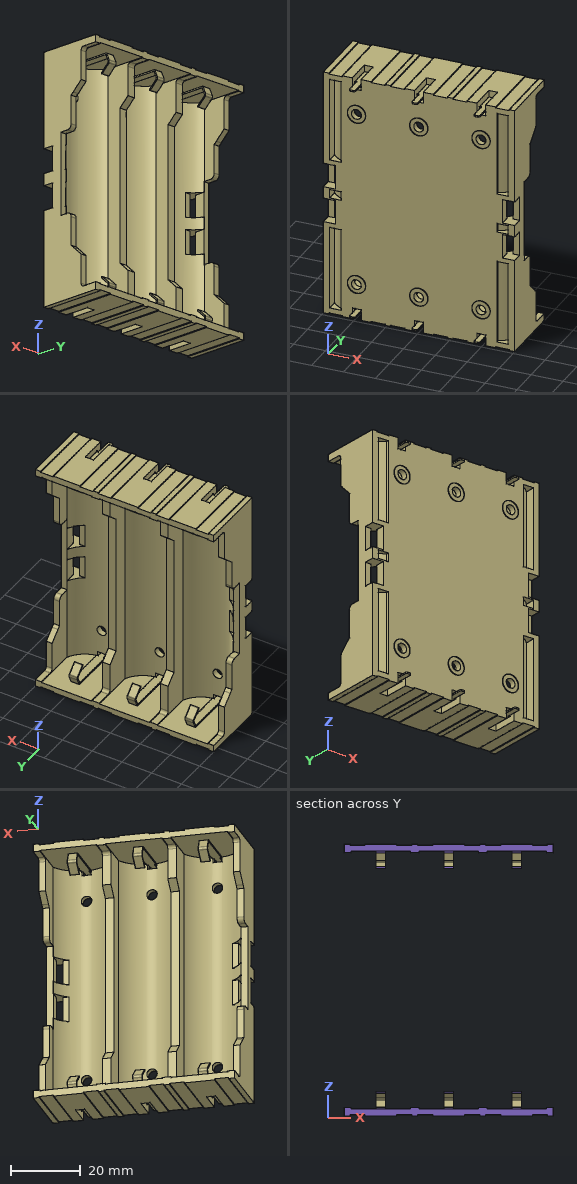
import cadquery as cq


WIDTH = 60.0
LENGTH = 78.0
HEIGHT = 21.1

CELL_COUNT = 3
CELL_PITCH = 19.5
CELLS_X = [(i - (CELL_COUNT - 1) / 2) * CELL_PITCH for i in range(CELL_COUNT)]
BAY_RADIUS = 9.35
FLOOR = 1.8
BAY_AXIS_Y = FLOOR + BAY_RADIUS
SIDE_WALL = 2.0
BAY_HALF_WIDTH = WIDTH / 2 - SIDE_WALL - CELL_PITCH
END_WALL = 2.1
BAY_LENGTH = LENGTH - 2 * END_WALL

LIP_THICKNESS = 2.35
SHOULDER_HEIGHT = 15.2
SHOULDER_END_Z = 26.7
RIB_HEIGHT = 12.0
RIB_END_Z = 23.7
SIDE_HEIGHT = 11.15
SIDE_SLOPE_END_Z = 22.9
SIDE_LOW_HEIGHT = 6.95
SIDE_LOW_HALF_LENGTH = 12.7
SIDE_STEP_RADIUS = 1.5
LIP_FILLET = 1.0

GROOVE_DEPTH = 0.3
EDGE_BAND = 1.8
CELL_BAND_HALF_WIDTH = 4.5
RIB_BAND_HALF_WIDTH = 0.85

SLOT_WIDTH = 3.6
LONG_SLOT_NEAR_Z = 10.9
LONG_SLOT_FAR_Z = 37.0
SHORT_SLOT_LENGTH = 2.7

WINDOW_DEPTH = 3.8
WINDOW_HEIGHT = 3.5
WINDOW_CLEARANCE_Y = 3.1
WINDOW_NEAR_Z = 1.9
WINDOW_FAR_Z = 9.4

HOLE_Z = 27.5
HOLE_DIAMETER = 3.05
PAD_DIAMETER = 5.7
PAD_HEIGHT = 0.2

NOTCH_WIDTH = 2.7
NOTCH_HEIGHT = 8.6
NOTCH_LENGTH = 3.5

CONTACT_THICKNESS = 0.5
CONTACT_Z = LENGTH / 2 - END_WALL - CONTACT_THICKNESS / 2
PIN_LENGTH = 3.35
PIN_WIDTH = 1.8
PIN_CORNER = 0.4
PIN_SHOULDER_Y = 2.2
BEND_Y = 16.2
CREST_Y = 17.2
CREST_START_DROP = 2.3
CREST_END_DROP = 3.0
SPRING_TIP_Y = 14.5
SPRING_TIP_DROP = 5.45


def block(x_range, y_range, z_range):
    """Box between the given limits, each pair in either order."""
    sizes = [abs(b - a) for a, b in (x_range, y_range, z_range)]
    centre = tuple((a + b) / 2 for a, b in (x_range, y_range, z_range))
    return cq.Workplane("XY").box(*sizes).translate(centre)


def cylinder_along_z(radius, length, x):
    """Cylinder on the axis of the bay at x, centred along Z."""
    return cq.Workplane("XY").center(x, BAY_AXIS_Y).circle(radius).extrude(length / 2, both=True)


def housing_blank():
    """Side profile with end lips, high shoulders and the rib height between them."""
    lip_z = LENGTH / 2 - LIP_THICKNESS
    upper_half = [
        (0, LENGTH / 2),
        (HEIGHT, LENGTH / 2),
        (HEIGHT, lip_z),
        (SHOULDER_HEIGHT, lip_z),
        (SHOULDER_HEIGHT, SHOULDER_END_Z),
        (RIB_HEIGHT, RIB_END_Z),
    ]
    lower_half = [(y, -z) for y, z in reversed(upper_half)]
    blank = cq.Workplane("YZ").polyline(upper_half + lower_half).close().extrude(WIDTH / 2, both=True)
    for end in (1, -1):
        corner = cq.selectors.NearestToPointSelector((0, SHOULDER_HEIGHT, end * lip_z))
        blank = blank.edges("|X").edges(corner).fillet(LIP_FILLET)
    return blank


def cell_bay(x):
    """Round-bottomed trough with flat sides, open on the +Y side."""
    sides = (x - BAY_HALF_WIDTH, x + BAY_HALF_WIDTH)
    ends = (-BAY_LENGTH / 2, BAY_LENGTH / 2)
    round_bottom = cylinder_along_z(BAY_RADIUS, BAY_LENGTH, x).intersect(block(sides, (0, HEIGHT), ends))
    return round_bottom.union(block(sides, (BAY_AXIS_Y, HEIGHT), ends))


def side_wall_relief(side):
    """Material removed above an outer side wall: a long step with a deeper one in the middle."""
    relief = (
        cq.Workplane("YZ")
        .moveTo(RIB_HEIGHT, RIB_END_Z)
        .lineTo(SIDE_HEIGHT, SIDE_SLOPE_END_Z)
        .lineTo(SIDE_HEIGHT, SIDE_LOW_HALF_LENGTH + SIDE_STEP_RADIUS)
        .radiusArc((SIDE_HEIGHT - SIDE_STEP_RADIUS, SIDE_LOW_HALF_LENGTH), SIDE_STEP_RADIUS)
        .lineTo(SIDE_LOW_HEIGHT, SIDE_LOW_HALF_LENGTH)
        .lineTo(SIDE_LOW_HEIGHT, 0)
        .lineTo(RIB_HEIGHT, 0)
        .close()
        .extrude(side * SIDE_WALL)
        .translate((side * (WIDTH / 2 - SIDE_WALL), 0, 0))
    )
    return relief.union(relief.mirror("XY"))


def end_grooves(end):
    """Grooves between the raised bands on one end face, running the full height."""
    half_pitch = CELL_PITCH / 2
    outer_z = end * LENGTH / 2
    grooves = cq.Workplane("XY")
    for x in CELLS_X:
        for side in (1, -1):
            at_outer_edge = abs(x + side * half_pitch) > max(CELLS_X)
            if at_outer_edge:
                reach = WIDTH / 2 - max(CELLS_X) - EDGE_BAND
            else:
                reach = half_pitch - RIB_BAND_HALF_WIDTH
            x_range = (x + side * CELL_BAND_HALF_WIDTH, x + side * reach)
            groove = block(x_range, (0, HEIGHT), (outer_z, outer_z - end * GROOVE_DEPTH))
            grooves = grooves.add(groove)
    return grooves.combine()


def side_slots(side):
    """Slots between a side wall and the round shell of the outer bay."""
    outer_x = side * (WIDTH / 2 - SIDE_WALL)
    inner_x = outer_x - side * SLOT_WIDTH
    z_ranges = [
        (LONG_SLOT_NEAR_Z, LONG_SLOT_FAR_Z),
        (-SHORT_SLOT_LENGTH / 2, SHORT_SLOT_LENGTH / 2),
        (-LONG_SLOT_FAR_Z, -LONG_SLOT_NEAR_Z),
    ]
    slots = cq.Workplane("XY")
    for z_range in z_ranges:
        slots = slots.add(block((outer_x, inner_x), (0, BAY_AXIS_Y), z_range))
    shell = cylinder_along_z(BAY_RADIUS + SIDE_WALL, LENGTH, side * max(CELLS_X))
    return slots.combine().cut(shell)


def side_windows(side):
    """Windows through a side wall, with the round shell cleared away above their inner ends."""
    outer_x = side * WIDTH / 2
    wall_x = outer_x - side * SIDE_WALL
    inner_x = outer_x - side * WINDOW_DEPTH
    bay_x = side * max(CELLS_X)
    windows = cq.Workplane("XY")
    for end in (1, -1):
        z_range = (end * WINDOW_NEAR_Z, end * WINDOW_FAR_Z)
        windows = windows.add(block((outer_x, inner_x), (0, WINDOW_HEIGHT), z_range))
        windows = windows.add(block((wall_x, bay_x), (WINDOW_CLEARANCE_Y, BAY_AXIS_Y), z_range))
    return windows.combine()


def mounting_discs(diameter, y_start, y_end):
    """Round discs at the six mounting points, between two heights."""
    points = [(x, end * HOLE_Z) for x in CELLS_X for end in (1, -1)]
    discs = cq.Workplane("XZ", origin=(0, y_start, 0)).pushPoints(points).circle(diameter / 2)
    return discs.extrude(y_start - y_end)


def contact_notch(x, end):
    """Notch through an end wall and the bay floor, where a contact passes out."""
    outer_z = end * LENGTH / 2
    x_range = (x - NOTCH_WIDTH / 2, x + NOTCH_WIDTH / 2)
    return block(x_range, (0, NOTCH_HEIGHT), (outer_z, outer_z - end * NOTCH_LENGTH))


def make_housing():
    housing = housing_blank()
    for x in CELLS_X:
        housing = housing.cut(cell_bay(x))
    for side in (1, -1):
        housing = housing.cut(side_wall_relief(side))
        housing = housing.cut(side_slots(side))
        housing = housing.cut(side_windows(side))
    for end in (1, -1):
        housing = housing.cut(end_grooves(end))
        for x in CELLS_X:
            housing = housing.cut(contact_notch(x, end))
    housing = housing.union(mounting_discs(PAD_DIAMETER, 0, -PAD_HEIGHT))
    return housing.cut(mounting_discs(HOLE_DIAMETER, -PAD_HEIGHT, BAY_AXIS_Y))


def make_contact(x, end):
    """Strip running up the end wall, bent into a spring at the top and narrowed to a pin below."""
    strip_path = [
        (-PIN_LENGTH - CONTACT_THICKNESS, CONTACT_Z),
        (BEND_Y, CONTACT_Z),
        (CREST_Y, CONTACT_Z - CREST_START_DROP),
        (CREST_Y, CONTACT_Z - CREST_END_DROP),
        (SPRING_TIP_Y, CONTACT_Z - SPRING_TIP_DROP),
    ]
    strip = (
        cq.Workplane("YZ")
        .polyline(strip_path)
        .offset2D(CONTACT_THICKNESS / 2)
        .extrude(NOTCH_WIDTH / 2, both=True)
    )
    z_range = (0, LENGTH / 2)
    pin = block((-PIN_WIDTH / 2, PIN_WIDTH / 2), (-PIN_LENGTH, PIN_SHOULDER_Y), z_range)
    pin = pin.edges("|Z and <Y").chamfer(PIN_CORNER)
    wide_part = block((-NOTCH_WIDTH / 2, NOTCH_WIDTH / 2), (PIN_SHOULDER_Y, HEIGHT), z_range)
    contact = strip.intersect(pin.union(wide_part))
    if end < 0:
        contact = contact.mirror("XY")
    return contact.translate((x, 0, 0))


housing = make_housing()
contacts = [make_contact(x, end) for x in CELLS_X for end in (1, -1)]

result = cq.Compound.makeCompound(
    [housing.solids().val(), *[contact.solids().val() for contact in contacts]]
)